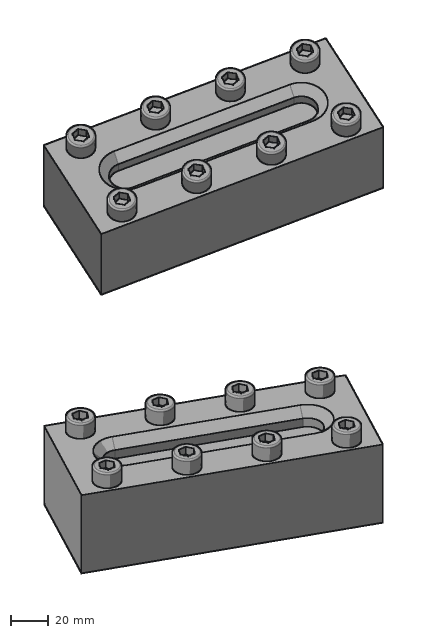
import cadquery as cq
import math

block_width = 70.0
block_length = 170.0
overall_height = 60.9
head_height = 9.9
block_height = overall_height - head_height

pocket_width = 18.0
mouth_width = 28.5
straight_length = 105.9
pocket_depth = 10.9
slope_angle = 45.0
slope_depth = (mouth_width - pocket_width) / 2 / math.tan(math.radians(slope_angle))

head_diameter = 16.0
head_edge_radius = 1.0
screw_columns = 2
screw_rows = 4
column_spacing = 50.0
row_spacing = 45.0

socket_flats = 8.0
socket_corners = socket_flats / math.cos(math.pi / 6)
socket_wall_depth = 5.0
socket_turn = -8.0
cone_angle = 120.0
cone_depth = socket_corners / 2 / math.tan(math.radians(cone_angle / 2))


def make_pocket():
    """Sloping mouth above a straight-walled lower part, sharing the same end centres."""
    block_top = cq.Workplane("XY").workplane(offset=block_height)
    mouth = block_top.slot2D(straight_length + mouth_width, mouth_width, 90).extrude(
        -slope_depth, taper=slope_angle
    )
    lower_part = block_top.slot2D(straight_length + pocket_width, pocket_width, 90).extrude(
        -pocket_depth
    )
    return mouth.union(lower_part)


def make_socket():
    """Hexagonal recess opening at the top of a head; the cone is trimmed to the hexagon."""
    hexagon = (
        cq.Workplane("XY")
        .workplane(offset=head_height)
        .polygon(6, socket_corners)
        .extrude(-(socket_wall_depth + cone_depth))
        .rotate((0, 0, 0), (0, 0, 1), socket_turn)
    )
    wall_bottom = head_height - socket_wall_depth
    pointed_plug = (
        cq.Workplane("XZ")
        .moveTo(0, head_height)
        .lineTo(socket_corners / 2, head_height)
        .lineTo(socket_corners / 2, wall_bottom)
        .lineTo(0, wall_bottom - cone_depth)
        .close()
        .revolve(360, (0, 0), (0, 1))
    )
    return hexagon.intersect(pointed_plug)


def make_head():
    """Cylindrical screw head standing on Z = 0, with a rounded top edge and a socket."""
    cylinder = cq.Workplane("XY").circle(head_diameter / 2).extrude(head_height)
    rounded = cylinder.faces(">Z").edges().fillet(head_edge_radius)
    return rounded.cut(make_socket())


block = cq.Workplane("XY").box(
    block_width, block_length, block_height, centered=(True, True, False)
)
head_shape = make_head().val()
heads = (
    cq.Workplane("XY")
    .workplane(offset=block_height)
    .rarray(column_spacing, row_spacing, screw_columns, screw_rows)
    .eachpoint(lambda place: head_shape.located(place))
)

result = block.cut(make_pocket()).union(heads)